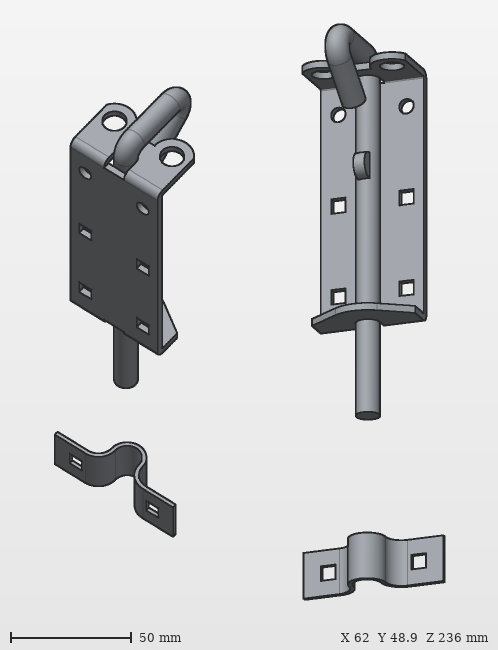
import cadquery as cq
import math

total_height = 236.0
total_depth = 48.9

rod_diameter = 10.1
rod_bottom_z = 74.3
hook_bend_radius = 6.0
hook_end_angle = 38.0
hook_end_length = 21.7
lug_radius = 5.7
lug_thickness = 5.0
lug_center_z = 182.5

plate_width = 45.8
plate_thickness = 3.0
bend_inner_radius = 0.5
bracket_bottom_z = 115.0
bracket_top_z = 225.1
plate_hole_x = 15.0
plate_hole_size = 6.4
plate_hole_pitch = 40.0
lowest_hole_z = 130.3
hole_rows = 3
square_hole_rows = 2
rod_slot_width = 10.5
ear_radius = 9.2
ear_center_y = 19.8
ear_hole_diameter = 10.1
lower_flange_depth = 25.0
lower_flange_taper = 33.0

strap_width = 62.0
strap_height = 20.0
strap_depth = 17.0
strap_thickness = 2.0
hump_inner_radius = 6.1
strap_hole_x = 20.0
strap_hole_size = 6.4

rod_radius = rod_diameter / 2
rod_axis_y = plate_thickness + rod_radius
half_plate = plate_width / 2
bend_outer_radius = bend_inner_radius + plate_thickness
ear_depth = ear_center_y + ear_radius
ear_centers = [(-plate_hole_x, ear_center_y), (plate_hole_x, ear_center_y)]


def box(x_range, y_range, z_range):
    """Axis-aligned block between the given limits."""
    size = [high - low for low, high in (x_range, y_range, z_range)]
    corner = (x_range[0], y_range[0], z_range[0])
    return cq.Workplane("XY").box(*size, centered=False).translate(corner)


def hole_cutters(size, points, depth, square):
    """Cutters running from the mounting face through depth along +Y; points are (x, z)."""
    plane = cq.Workplane("XZ").pushPoints(points)
    outline = plane.rect(size, size) if square else plane.circle(size / 2)
    return outline.extrude(-depth)


def make_rod():
    handle_z = total_height - rod_radius
    bend_z = handle_z - hook_bend_radius
    far_bend_y = total_depth - rod_radius - hook_bend_radius
    near_bend_y = rod_axis_y + hook_bend_radius
    slope = math.radians(hook_end_angle)

    def on_far_bend(angle):
        """Point of the far bend, angle measured from +Y towards +Z."""
        y = far_bend_y + hook_bend_radius * math.cos(angle)
        return (y, bend_z + hook_bend_radius * math.sin(angle))

    bend_end = on_far_bend(slope - math.pi / 2)
    free_end = (
        bend_end[0] - hook_end_length * math.cos(slope),
        bend_end[1] - hook_end_length * math.sin(slope),
    )
    near_bend_middle = (
        near_bend_y - hook_bend_radius * math.cos(math.pi / 4),
        bend_z + hook_bend_radius * math.sin(math.pi / 4),
    )
    path = (
        cq.Workplane("YZ")
        .moveTo(rod_axis_y, rod_bottom_z)
        .lineTo(rod_axis_y, bend_z)
        .threePointArc(near_bend_middle, (near_bend_y, handle_z))
        .lineTo(far_bend_y, handle_z)
        .threePointArc(on_far_bend(slope / 2), bend_end)
        .lineTo(*free_end)
    )
    section = cq.Workplane("XY", origin=(0, rod_axis_y, rod_bottom_z)).circle(rod_radius)
    rod = section.sweep(path)

    lug = (
        cq.Workplane("YZ")
        .center(rod_axis_y + rod_radius, lug_center_z)
        .circle(lug_radius)
        .extrude(lug_thickness / 2, both=True)
    )
    outer_half = box(
        (-rod_radius, rod_radius),
        (rod_axis_y, total_depth),
        (lug_center_z - lug_radius, lug_center_z + lug_radius),
    )
    return rod.union(lug.intersect(outer_half))


def bent_sheet():
    """Back plate with two full-width flanges."""
    outside = box((-half_plate, half_plate), (0, ear_depth), (bracket_bottom_z, bracket_top_z))
    outside = outside.edges("|X and <Y").fillet(bend_outer_radius)
    inside = box(
        (-half_plate, half_plate),
        (plate_thickness, 2 * ear_depth),
        (bracket_bottom_z + plate_thickness, bracket_top_z - plate_thickness),
    )
    inside = inside.edges("|X and <Y").fillet(bend_inner_radius)
    return outside.cut(inside)


def upper_flange_outline():
    """Two round ears, clipped by the plate's sides, on a full-width strip."""
    ears = (
        cq.Workplane("XY")
        .pushPoints(ear_centers)
        .circle(ear_radius)
        .extrude(total_height)
    )
    strip = box((-half_plate, half_plate), (0, ear_center_y), (0, total_height))
    return strip.union(ears)


def lower_flange_outline():
    """Tapered flange whose round tip is concentric with the rod."""
    tip_radius = lower_flange_depth - rod_axis_y
    taper = math.radians(lower_flange_taper)
    tangent_x = tip_radius * math.sin(taper)
    tangent_y = rod_axis_y + tip_radius * math.cos(taper)
    shoulder_y = tangent_y - (half_plate - tangent_x) * math.tan(taper)
    return (
        cq.Workplane("XY")
        .moveTo(-half_plate, 0)
        .lineTo(half_plate, 0)
        .lineTo(half_plate, shoulder_y)
        .lineTo(tangent_x, tangent_y)
        .threePointArc((0, lower_flange_depth), (-tangent_x, tangent_y))
        .lineTo(-half_plate, shoulder_y)
        .close()
        .extrude(total_height)
    )


def rod_slot():
    """Round-ended slot for the rod, open through the bend to the mounting face."""
    end = cq.Workplane("XY").center(0, rod_axis_y).circle(rod_slot_width / 2).extrude(total_height)
    run = box((-rod_slot_width / 2, rod_slot_width / 2), (0, rod_axis_y), (0, total_height))
    return end.union(run)


def make_bracket():
    sheet = bent_sheet()
    middle_z = (bracket_bottom_z + bracket_top_z) / 2
    across = (-half_plate, half_plate)
    out = (0, ear_depth)
    upper_half = box(across, out, (middle_z, bracket_top_z))
    lower_half = box(across, out, (bracket_bottom_z, middle_z))
    upper = sheet.intersect(upper_half).intersect(upper_flange_outline())
    lower = sheet.intersect(lower_half).intersect(lower_flange_outline())
    bracket = upper.union(lower)

    for low, high in (
        (bracket_bottom_z, bracket_bottom_z + bend_outer_radius),
        (bracket_top_z - bend_outer_radius, bracket_top_z),
    ):
        bracket = bracket.cut(rod_slot().intersect(box(across, out, (low, high))))

    ear_holes = (
        cq.Workplane("XY", origin=(0, 0, middle_z))
        .pushPoints(ear_centers)
        .circle(ear_hole_diameter / 2)
        .extrude(total_height)
    )
    bracket = bracket.cut(ear_holes)

    for row in range(hole_rows):
        z = lowest_hole_z + row * plate_hole_pitch
        points = [(-plate_hole_x, z), (plate_hole_x, z)]
        square = row < square_hole_rows
        bracket = bracket.cut(hole_cutters(plate_hole_size, points, plate_thickness, square))
    return bracket


def make_strap():
    half_strap = strap_width / 2
    hump_outer_radius = hump_inner_radius + strap_thickness
    hump_y = strap_depth - hump_outer_radius
    foot_x = hump_inner_radius + hump_y
    foot_inner_radius = hump_y - strap_thickness
    diagonal = math.sqrt(0.5)

    def foot_middle(side, radius):
        return (side * (foot_x - radius * diagonal), hump_y - radius * diagonal)

    profile = (
        cq.Workplane("XY")
        .moveTo(-half_strap, 0)
        .lineTo(-foot_x, 0)
        .threePointArc(foot_middle(-1, hump_y), (-hump_inner_radius, hump_y))
        .threePointArc((0, hump_y + hump_inner_radius), (hump_inner_radius, hump_y))
        .threePointArc(foot_middle(1, hump_y), (foot_x, 0))
        .lineTo(half_strap, 0)
        .lineTo(half_strap, strap_thickness)
        .lineTo(foot_x, strap_thickness)
        .threePointArc(foot_middle(1, foot_inner_radius), (hump_outer_radius, hump_y))
        .threePointArc((0, strap_depth), (-hump_outer_radius, hump_y))
        .threePointArc(foot_middle(-1, foot_inner_radius), (-foot_x, strap_thickness))
        .lineTo(-half_strap, strap_thickness)
        .close()
    )
    points = [(-strap_hole_x, strap_height / 2), (strap_hole_x, strap_height / 2)]
    holes = hole_cutters(strap_hole_size, points, strap_thickness, square=True)
    return profile.extrude(strap_height).cut(holes)


rod = make_rod()
bracket = make_bracket()
strap = make_strap()

result = cq.Compound.makeCompound([rod.val(), bracket.val(), strap.val()])